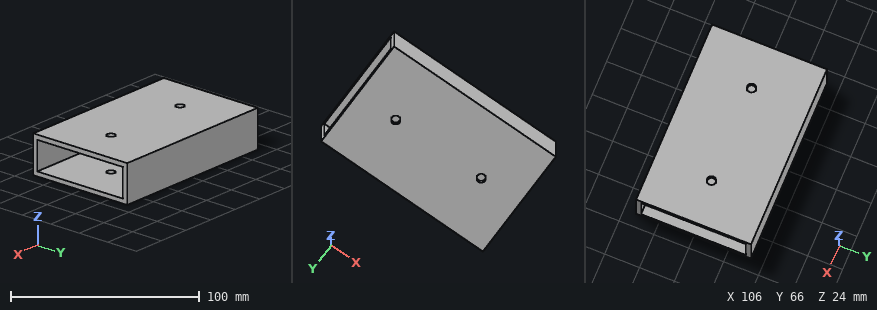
import cadquery as cq

length = 106.0
width = 66.0
height = 24.0
wall = 3.0

hole_diameter = 5.0
hole_spacing = 56.0

tube = (
    cq.Workplane("YZ")
    .rect(width, height)
    .rect(width - 2 * wall, height - 2 * wall)
    .extrude(length / 2, both=True)
)

holes = (
    cq.Workplane("XY")
    .pushPoints([(-hole_spacing / 2, 0), (hole_spacing / 2, 0)])
    .circle(hole_diameter / 2)
    .extrude(height, both=True)
)

result = tube.cut(holes)